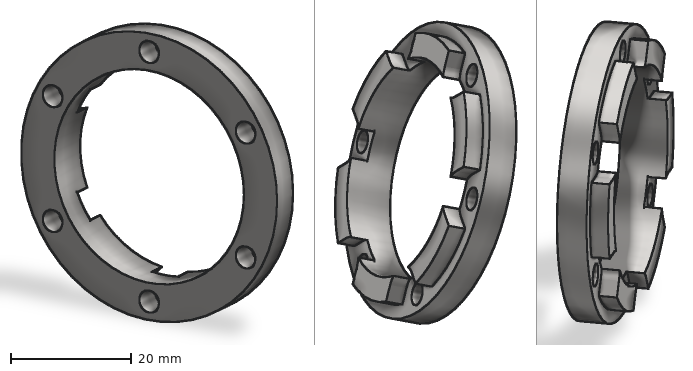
import cadquery as cq
import math

OUTER_DIAMETER = 50.0
BORE_DIAMETER = 37.0
RING_THICKNESS = 5.08
TOTAL_DEPTH = 8.18

HOLE_COUNT = 6
HOLE_DIAMETER = 3.81
FIRST_HOLE_ANGLE = 30.0

COLLAR_RADIUS = 22.65
BOLT_CLEARANCE_RADIUS = 4.25

BOLT_CIRCLE_RADIUS = (OUTER_DIAMETER + BORE_DIAMETER) / 4
COLLAR_HEIGHT = TOTAL_DEPTH - RING_THICKNESS
PITCH_ANGLE = 360.0 / HOLE_COUNT


def disc(radius, start_y, depth, center_x=0.0):
    """Round disc extruded along +Y from the given depth."""
    return cq.Workplane("XZ", origin=(center_x, start_y, 0)).circle(radius).extrude(-depth)


def at_each_hole(tool):
    """Copies of a tool built on +X, one turned to each bolt hole."""
    angles = [FIRST_HOLE_ANGLE + index * PITCH_ANGLE for index in range(HOLE_COUNT)]
    return [tool.rotate((0, 0, 0), (0, 1, 0), angle) for angle in angles]


def make_gap():
    """Gap on +X: a circle around the bolt that flares outward along its tangents."""
    flare = math.radians(PITCH_ANGLE / 2)
    tangent_x = BOLT_CIRCLE_RADIUS - BOLT_CLEARANCE_RADIUS * math.sin(flare)
    tangent_z = BOLT_CLEARANCE_RADIUS * math.cos(flare)
    end_x = OUTER_DIAMETER / 2
    end_z = tangent_z + (end_x - tangent_x) * math.tan(flare)
    return (
        cq.Workplane("XZ", origin=(0, RING_THICKNESS, 0))
        .moveTo(tangent_x, -tangent_z)
        .lineTo(end_x, -end_z)
        .lineTo(end_x, end_z)
        .lineTo(tangent_x, tangent_z)
        .threePointArc((BOLT_CIRCLE_RADIUS - BOLT_CLEARANCE_RADIUS, 0), (tangent_x, -tangent_z))
        .close()
        .extrude(-COLLAR_HEIGHT)
    )


def make_lugs():
    """Collar divided into equal lugs, still solid at the centre."""
    collar = disc(COLLAR_RADIUS, RING_THICKNESS, COLLAR_HEIGHT)
    for gap in at_each_hole(make_gap()):
        collar = collar.cut(gap)
    return collar


def make_part():
    """Ring and lugs joined, then bored and drilled right through."""
    body = disc(OUTER_DIAMETER / 2, 0, RING_THICKNESS).union(make_lugs())
    body = body.cut(disc(BORE_DIAMETER / 2, 0, TOTAL_DEPTH))
    bolt_hole = disc(HOLE_DIAMETER / 2, 0, RING_THICKNESS, BOLT_CIRCLE_RADIUS)
    for hole in at_each_hole(bolt_hole):
        body = body.cut(hole)
    return body


result = make_part()